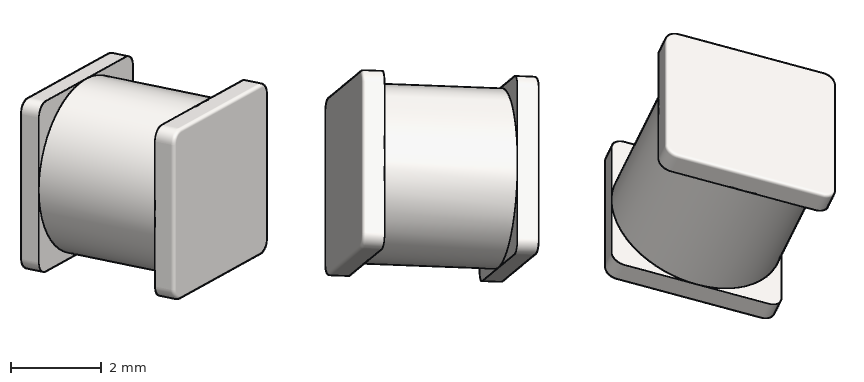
import cadquery as cq

side = 4.0
plate_thickness = 0.5
corner_radius = 0.3
edge_radius = 0.08

drum_diameter = side
half_length = side / 2


def end_plate(outward):
    """Rounded square plate at one end; outward is -1 or +1 along X."""
    center_x = outward * (half_length - plate_thickness / 2)
    plate = cq.Workplane("XY").box(plate_thickness, side, side)
    plate = plate.edges("|X").fillet(corner_radius)
    outer_face = "<X" if outward < 0 else ">X"
    plate = plate.faces(outer_face).edges().fillet(edge_radius)
    return plate.translate((center_x, 0, 0))


drum_length = side - 2 * plate_thickness
drum = cq.Workplane("YZ").circle(drum_diameter / 2).extrude(drum_length / 2, both=True)

result = drum
for outward in (-1, 1):
    result = result.union(end_plate(outward))